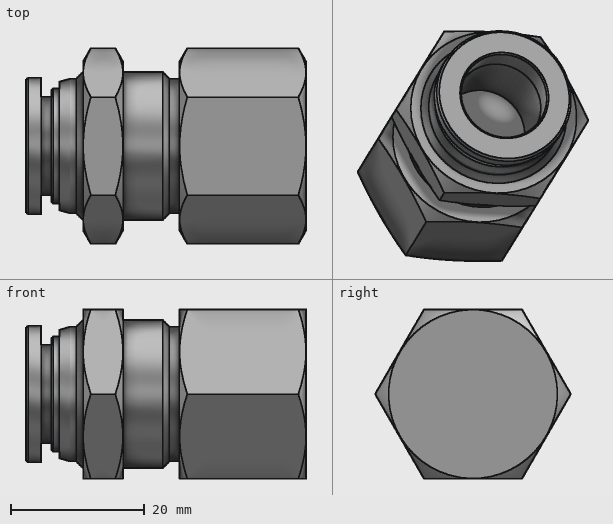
import cadquery as cq
import math

LENGTH = 42.0

HEX_FLATS = 25.4
HEX_CORNERS = HEX_FLATS / math.cos(math.pi / 6)
HEX_FACE_DIA = 25.3
HEX_CHAMFER_ANGLE = math.radians(30)

BORE_DIA = 13.0
BORE_CHAMFER = 0.25
SLEEVE_DIA = 14.8
COLLAR_DIA = 20.5
COLLAR_CHAMFER = 0.35
COLLAR_END = 2.3
SLEEVE_END = 5.05

LIP_DIA = 17.3
LIP_START = 3.82
LIP_CHAMFER = 0.3
TAPER_START = 5.05
TAPER_START_DIA = 19.28
TAPER_END = 6.6
PILOT_DIA = 20.2
PILOT_END = 7.55
THREAD_DIA = 22.2
THREAD_LEAD_IN = (THREAD_DIA - PILOT_DIA) / 2
THREAD_END = 20.5
NECK_DIA = PILOT_DIA
THREAD_RUN_OUT = (THREAD_DIA - NECK_DIA) / 2
BODY_HEX_START = 23.0
BORE_FLOOR = 18.05

NUT_START = 8.55
NUT_END = 14.57


def revolve_about_x(profile):
    """Turn a profile of (x, radius) points about the X axis."""
    return cq.Workplane("XY").polyline(profile).close().revolve(360, (0, 0, 0), (1, 0, 0))


def cylinder(start, end, diameter):
    """Cylinder on the X axis between two x positions."""
    return cq.Workplane("YZ", origin=(start, 0, 0)).circle(diameter / 2).extrude(end - start)


def chamfered_hex(start, end):
    """Hexagonal prism with its corners turned to a cone at both ends."""
    prism = cq.Workplane("YZ", origin=(start, 0, 0)).polygon(6, HEX_CORNERS).extrude(end - start)
    face_radius = HEX_FACE_DIA / 2
    corner_radius = HEX_CORNERS / 2
    chamfer_depth = (corner_radius - face_radius) * math.tan(HEX_CHAMFER_ANGLE)
    envelope = revolve_about_x([
        (start, 0),
        (start, face_radius),
        (start + chamfer_depth, corner_radius),
        (end - chamfer_depth, corner_radius),
        (end, face_radius),
        (end, 0),
    ])
    return prism.intersect(envelope)


def make_release_sleeve():
    """Collared tube with a chamfered mouth."""
    bore_radius = BORE_DIA / 2
    collar_radius = COLLAR_DIA / 2
    return revolve_about_x([
        (BORE_CHAMFER, bore_radius),
        (0, bore_radius + BORE_CHAMFER),
        (0, collar_radius - COLLAR_CHAMFER),
        (COLLAR_CHAMFER, collar_radius),
        (COLLAR_END, collar_radius),
        (COLLAR_END, SLEEVE_DIA / 2),
        (SLEEVE_END, SLEEVE_DIA / 2),
        (SLEEVE_END, bore_radius),
    ])


def make_fitting_body():
    """Stepped barrel with a hexagonal end, bored from the sleeve side."""
    barrel = revolve_about_x([
        (LIP_START, 0),
        (LIP_START, LIP_DIA / 2 - LIP_CHAMFER),
        (LIP_START + LIP_CHAMFER, LIP_DIA / 2),
        (TAPER_START, LIP_DIA / 2),
        (TAPER_START, TAPER_START_DIA / 2),
        (TAPER_END, PILOT_DIA / 2),
        (PILOT_END, PILOT_DIA / 2),
        (PILOT_END + THREAD_LEAD_IN, THREAD_DIA / 2),
        (THREAD_END, THREAD_DIA / 2),
        (THREAD_END + THREAD_RUN_OUT, NECK_DIA / 2),
        (BODY_HEX_START, NECK_DIA / 2),
        (BODY_HEX_START, 0),
    ])
    body = barrel.union(chamfered_hex(BODY_HEX_START, LENGTH))
    sleeve_seat = cylinder(LIP_START, SLEEVE_END, SLEEVE_DIA)
    tube_bore = cylinder(LIP_START, BORE_FLOOR, BORE_DIA)
    return body.cut(sleeve_seat).cut(tube_bore)


def make_lock_nut():
    """Hexagonal nut fitted closely around the barrel."""
    return chamfered_hex(NUT_START, NUT_END).cut(cylinder(NUT_START, NUT_END, THREAD_DIA))


release_sleeve = make_release_sleeve()
fitting_body = make_fitting_body()
lock_nut = make_lock_nut()

result = cq.Compound.makeCompound([
    release_sleeve.solids().val(),
    fitting_body.solids().val(),
    lock_nut.solids().val(),
])